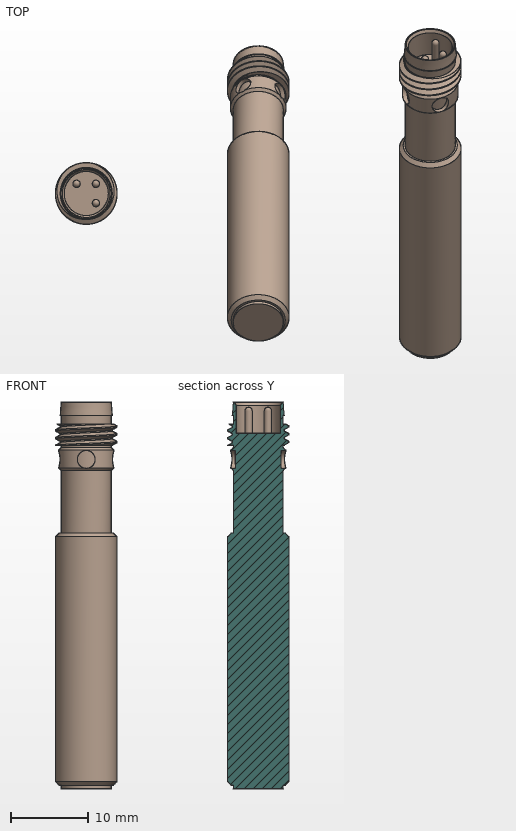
import cadquery as cq
import math

total_height = 49.9
body_diameter = 8
neck_diameter = 6.5
body_bottom = 0.45
body_top = 33.05
body_chamfer = 0.5

collar_diameter = 7.2
collar_bottom = 41.05
collar_top = 44.05
collar_chamfer = (collar_diameter - neck_diameter) / 2
collar_hole_diameter = 2.3
collar_hole_height = 42.5
collar_hole_floor_diameter = 6.0

thread_bottom = 44.3
thread_top = 47.05
thread_pitch = 1.0
thread_crest_height = 44.75
thread_core_diameter = 6.75
thread_root_radius = thread_core_diameter / 2 - 0.05
thread_crest_width = 0.15
thread_base_width = 0.9

lip_diameter = 6.75
lip_bottom = 48.2

socket_diameter = 5.7
socket_depth = 4.0
socket_mouth_diameter = 6.2
socket_mouth_depth = 0.4
pin_diameter = 0.95
pin_offset = 1.25
pin_top = 49.25
pin_root_length = 0.5
pin_bottom = total_height - socket_depth - pin_root_length
pin_places = [(-pin_offset, pin_offset), (pin_offset, pin_offset), (pin_offset, -pin_offset)]


def cylinder(diameter, bottom, top):
    return cq.Workplane("XY").workplane(offset=bottom).circle(diameter / 2).extrude(top - bottom)


def make_collar():
    collar = cylinder(collar_diameter, collar_bottom, collar_top)
    collar = collar.faces("<Z or >Z").chamfer(collar_chamfer)
    return collar


def make_collar_holes():
    holes = cq.Workplane("XY")
    for plane in ("XZ", "YZ"):
        bore = (
            cq.Workplane(plane)
            .center(0, collar_hole_height)
            .circle(collar_hole_diameter / 2)
            .extrude(body_diameter, both=True)
        )
        holes = holes.add(bore)
    core = cylinder(collar_hole_floor_diameter, collar_bottom, collar_top)
    return holes.combine().cut(core)


def make_lip():
    return (
        cq.Workplane("XZ")
        .moveTo(0, lip_bottom)
        .lineTo(lip_diameter / 2, lip_bottom)
        .lineTo(neck_diameter / 2, total_height)
        .lineTo(0, total_height)
        .close()
        .revolve(360, (0, 0, 0), (0, 1, 0))
    )


def make_thread():
    start = thread_crest_height - 2 * thread_pitch
    turns = math.ceil((thread_top - start) / thread_pitch) + 1
    path = cq.Wire.makeHelix(thread_pitch, turns * thread_pitch, thread_root_radius).translate(
        cq.Vector(0, 0, start)
    )
    crest_radius = body_diameter / 2
    ridge = (
        cq.Workplane("XZ")
        .moveTo(thread_root_radius, start - thread_base_width / 2)
        .lineTo(crest_radius, start - thread_crest_width / 2)
        .lineTo(crest_radius, start + thread_crest_width / 2)
        .lineTo(thread_root_radius, start + thread_base_width / 2)
        .close()
        .sweep(cq.Workplane(path), isFrenet=True)
    )
    return ridge.intersect(cylinder(2 * body_diameter, thread_bottom, thread_top))


def make_socket():
    bore_radius = socket_diameter / 2
    return (
        cq.Workplane("XZ")
        .moveTo(0, total_height)
        .lineTo(socket_mouth_diameter / 2, total_height)
        .lineTo(bore_radius, total_height - socket_mouth_depth)
        .lineTo(bore_radius, total_height - socket_depth)
        .lineTo(0, total_height - socket_depth)
        .close()
        .revolve(360, (0, 0, 0), (0, 1, 0))
    )


def make_pin(place):
    pin = cylinder(pin_diameter, pin_bottom, pin_top - pin_diameter / 2)
    tip = cq.Workplane("XY").sphere(pin_diameter / 2).translate((0, 0, pin_top - pin_diameter / 2))
    return pin.union(tip).translate((*place, 0))


body = cylinder(body_diameter, body_bottom, body_top).faces("<Z or >Z").chamfer(body_chamfer)
result = cylinder(neck_diameter, 0, total_height).union(body)
result = result.union(make_collar()).cut(make_collar_holes())
result = result.union(cylinder(thread_core_diameter, thread_bottom, thread_top)).union(make_thread())
result = result.union(make_lip()).cut(make_socket())
for pin_place in pin_places:
    result = result.union(make_pin(pin_place))